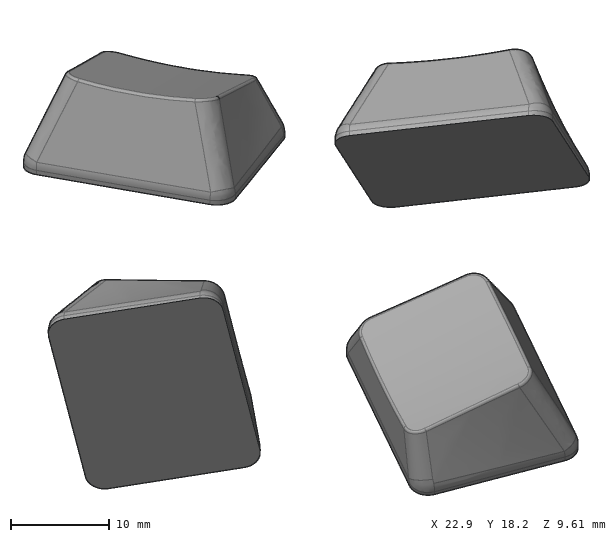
import cadquery as cq
import math

length = 22.92
width = 18.15
skirt_height = 0.95

top_slope = 0.28
blank_height = 9.17
blank_half_length = 7.98
blank_front_y = -4.72
blank_back_y = 8.6

dish_radius = 57.3
dish_floor_height = 7.85
dish_reach = 45.85

side_radius = 2.02
rim_radius = 0.35

tilt = math.atan(top_slope)


def make_skirt():
    outline = cq.Sketch().rect(length, width)
    return cq.Workplane().placeSketch(outline).extrude(skirt_height)


def make_tapered_body():
    middle_y = (blank_front_y + blank_back_y) / 2
    sloping_depth = (blank_back_y - blank_front_y) / math.cos(tilt)
    lower = cq.Sketch().rect(length, width)
    upper = cq.Sketch().rect(2 * blank_half_length, sloping_depth)
    sloping_plane = cq.Plane(
        origin=(0, middle_y, blank_height - top_slope * middle_y - skirt_height),
        xDir=(1, 0, 0),
        normal=(0, math.sin(tilt), math.cos(tilt)),
    )
    base = cq.Workplane(origin=(0, 0, skirt_height))
    return base.placeSketch(lower, upper.moved(cq.Location(sloping_plane))).loft(ruled=True)


def make_dish_cutter():
    axis = cq.Vector(0, math.cos(tilt), -math.sin(tilt))
    up = cq.Vector(0, math.sin(tilt), math.cos(tilt))
    floor = cq.Vector(0, 0, dish_floor_height)
    start = floor + up * dish_radius - axis * (dish_reach / 2)
    return cq.Workplane(obj=cq.Solid.makeCylinder(dish_radius, dish_reach, start, axis))


body = make_skirt().union(make_tapered_body())

end_edges = body.faces("<Z or >Z").edges().vals()
side_edges = [edge for edge in body.edges().vals() if not any(edge.isSame(end) for end in end_edges)]
body = body.newObject(side_edges).fillet(side_radius)

body = body.cut(make_dish_cutter())
dish_face = cq.selectors.NearestToPointSelector((0, 0, dish_floor_height))
result = body.faces(dish_face).edges().fillet(rim_radius)